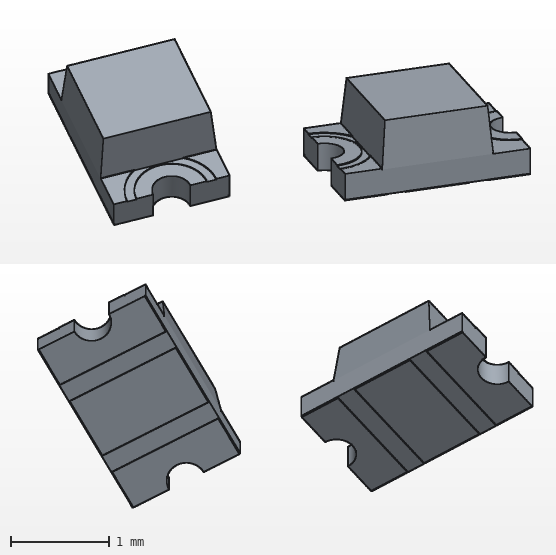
import cadquery as cq
import math

length = 2.0
width = 1.25
total_height = 0.81
notch_radius = 0.2
board_ends = (-length / 2, length / 2)

layer_thickness = 0.01
board_thickness = 0.28
board_top = layer_thickness + board_thickness
land_radius = 0.38
groove_outer_radius = 0.48

pad_edge_inset = 0.01
pad_width = width - 2 * pad_edge_inset
end_pad_length = 0.45
center_pad_length = 0.69

lens_length = 1.2
lens_draft_angle = 5.0
lens_height = total_height - board_top
lens_inset = lens_height * math.tan(math.radians(lens_draft_angle))


def block(size_x, size_y, size_z, center_x, bottom_z):
    """Box centred on Y, placed by its X centre and its bottom face."""
    return (
        cq.Workplane("XY")
        .box(size_x, size_y, size_z, centered=(True, True, False))
        .translate((center_x, 0, bottom_z))
    )


def disc(radius, height, center_x, bottom_z):
    """Upright cylinder on the part's long axis."""
    return (
        cq.Workplane("XY", origin=(center_x, 0, bottom_z))
        .circle(radius)
        .extrude(height)
    )


def make_lens():
    """Truncated pyramid standing on the board."""
    return (
        cq.Workplane("XY", origin=(0, 0, board_top))
        .rect(lens_length, width)
        .workplane(offset=lens_height)
        .rect(lens_length - 2 * lens_inset, width - 2 * lens_inset)
        .loft(ruled=True)
    )


def make_top_metal():
    """Half-round land at each end; the +X one is ringed by a groove in a full-width layer."""
    layer_length = (length - lens_length) / 2
    layer_x = (length - layer_length) / 2
    layer = block(layer_length, width, layer_thickness, layer_x, board_top)
    groove = disc(groove_outer_radius, layer_thickness, length / 2, board_top)
    metal = layer.cut(groove)
    for end_x in board_ends:
        metal = metal.union(disc(land_radius, layer_thickness, end_x, board_top))
    return metal


def make_bottom_metal():
    """Solder pad at each end and a strip across the middle."""
    end_pad_offset = (length - end_pad_length) / 2
    metal = block(center_pad_length, pad_width, layer_thickness, 0, 0)
    for pad_x in (-end_pad_offset, end_pad_offset):
        metal = metal.union(block(end_pad_length, pad_width, layer_thickness, pad_x, 0))
    return metal


board = block(length, width, board_thickness, 0, layer_thickness)
result = board.union(make_lens()).union(make_top_metal()).union(make_bottom_metal())

result = result.intersect(block(length, width, total_height, 0, 0))

for end_x in board_ends:
    result = result.cut(disc(notch_radius, total_height, end_x, 0))